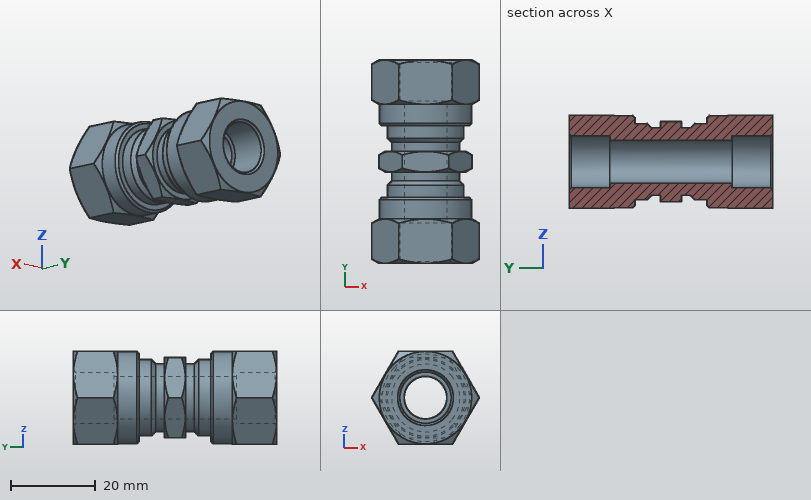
import cadquery as cq
import math

half_length = 24.0

nut_across_flats = 22.0
nut_face_radius = 10.9
nut_hex_start = 13.5
collar_radius = 10.9
collar_start = 8.45
collar_chamfer = 0.6

body_radius = 9.05
body_chamfer_start = 4.55
neck_radius = 8.0
body_chamfer = body_radius - neck_radius

middle_across_flats = 19.0
middle_face_radius = 9.35
middle_half_width = 2.5

hex_chamfer_angle = 30.0

bore_radius = 5.0
socket_radius = 6.05
socket_depth = 9.6
socket_mouth_radius = 6.6
socket_mouth_depth = socket_mouth_radius - socket_radius


def revolve_about_y(points):
    """Revolve a closed outline of (radius, y) points about the Y axis."""
    return cq.Workplane("XY").polyline(points).close().revolve(360, (0, 0), (0, 1))


def chamfered_hexagon(across_flats, face_radius, start, end):
    """Hexagonal prism from Y = start to Y = end, with conical chamfers at both ends."""
    corner_radius = across_flats / math.sqrt(3)
    cone_radius = corner_radius + 0.5
    cone_depth = (cone_radius - face_radius) * math.tan(math.radians(hex_chamfer_angle))
    prism = (
        cq.Workplane("XZ", origin=(0, end, 0))
        .polygon(6, 2 * corner_radius)
        .extrude(end - start)
    )
    envelope = revolve_about_y([
        (0, start),
        (face_radius, start),
        (cone_radius, start + cone_depth),
        (cone_radius, end - cone_depth),
        (face_radius, end),
        (0, end),
    ])
    return prism.intersect(envelope)


def make_turned_half():
    """Neck, body and collar on the +Y side."""
    return revolve_about_y([
        (0, 0),
        (neck_radius, 0),
        (neck_radius, body_chamfer_start),
        (body_radius, body_chamfer_start + body_chamfer),
        (body_radius, collar_start),
        (collar_radius - collar_chamfer, collar_start),
        (collar_radius, collar_start + collar_chamfer),
        (collar_radius, nut_hex_start),
        (0, nut_hex_start),
    ])


def make_bore_half():
    """Bore, tube socket and chamfered mouth on the +Y side."""
    return revolve_about_y([
        (0, 0),
        (bore_radius, 0),
        (bore_radius, half_length - socket_depth),
        (socket_radius, half_length - socket_depth),
        (socket_radius, half_length - socket_mouth_depth),
        (socket_mouth_radius, half_length),
        (0, half_length),
    ])


nut_hexagon = chamfered_hexagon(nut_across_flats, nut_face_radius, nut_hex_start, half_length)
middle_hexagon = chamfered_hexagon(
    middle_across_flats, middle_face_radius, -middle_half_width, middle_half_width
)

half = make_turned_half().union(nut_hexagon).cut(make_bore_half())
middle_bore = cq.Workplane("XZ").circle(bore_radius).extrude(middle_half_width, both=True)
result = half.union(half.mirror("XZ")).union(middle_hexagon.cut(middle_bore))